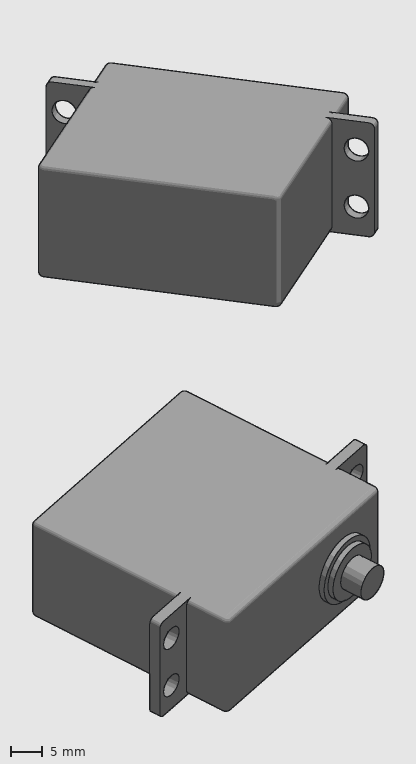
import cadquery as cq

case_width = 40.0
case_depth = 39.0
case_height = 20.0
edge_radius = 1.0

flange_width = 54.0
flange_thickness = 2.0
flange_setback = 8.0
flange_corner_radius = 1.0

hole_diameter = 4.0
hole_end_distance = 3.0
hole_spacing_x = flange_width - 2 * hole_end_distance
hole_spacing_z = 10.0

shaft_inset = 10.0
shaft_x = -case_width / 2 + shaft_inset
shaft_steps = [
    (12.0, 1.0),
    (10.0, 1.0),
    (6.0, 4.0),
]


def plane_facing_plus_y(x, y):
    """Work plane at (x, y, 0) whose normal is +Y and whose local y is +Z."""
    return cq.Workplane(cq.Plane(origin=(x, y, 0), xDir=(-1, 0, 0), normal=(0, 1, 0)))


def make_case():
    block = plane_facing_plus_y(0, 0).rect(case_width, case_height).extrude(case_depth)
    return block.edges().fillet(edge_radius)


def make_flange():
    flange_y = case_depth - flange_setback - flange_thickness
    plate = plane_facing_plus_y(0, flange_y).rect(flange_width, case_height).extrude(flange_thickness)
    plate = plate.edges("|Y").fillet(flange_corner_radius)
    holes = (
        plane_facing_plus_y(0, flange_y)
        .rect(hole_spacing_x, hole_spacing_z, forConstruction=True)
        .vertices()
        .circle(hole_diameter / 2)
        .extrude(flange_thickness)
    )
    return plate.cut(holes)


def add_output_shaft(body):
    base_y = case_depth
    for diameter, length in shaft_steps:
        step = plane_facing_plus_y(shaft_x, base_y).circle(diameter / 2).extrude(length)
        body = body.union(step)
        base_y += length
    return body


result = add_output_shaft(make_case().union(make_flange()))